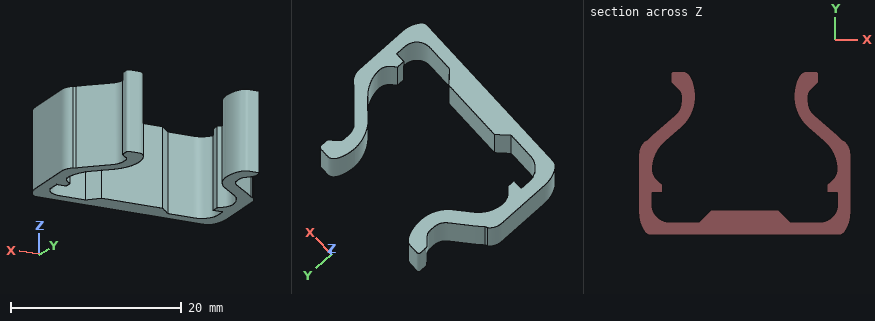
import cadquery as cq
import math

width = 25.0
depth = 19.3
height = 10.2
half_width = width / 2

base_thickness = 1.6
side_thickness = 1.6
pad_top = 3.0
pad_half_width = 4.0
pad_ramp = pad_top - base_thickness
inner_corner_radius = 2.1

base_half_width = 11.0
base_corner_joint = (11.78, 0.4)
side_bottom = 2.65

side_top = 9.55
shoulder_end = (11.79, 11.11)

step_bottom = 5.0
step_top = 6.0
step_depth = 1.25
step_inner_x = half_width - side_thickness - step_depth

bulge_start = (10.27, 6.54)
bulge_lower_mid = (10.7, 7.2)
bulge_widest = (10.82, 8.04)
bulge_upper_mid = (10.5, 9.37)
bulge_end = (9.39, 10.96)

arm_root = (11.5, 11.25)
arm_bend = (10.68, 12.04)
arm_top = (8.22, 14.17)
outer_neck_mid = (7.68, 14.88)
neck_outer_x = 7.49
neck_outer_low = 15.72
neck_outer_high = 16.47
lip_fillet_mid = (7.6, 16.84)
lip_under_start = (7.82, 17.11)

lip_x = 8.72
lip_under_end = (8.62, 17.88)
lip_bottom = 18.2
lip_corner_radius = 0.33

nose = (1.42, 3.08)
throat_half_width = 5.76
nose_start_x = throat_half_width + nose[0]
inner_neck_mid = (6.1, 14.55)
inner_neck_end = (7.2, 12.87)


def corner_mid(center, radius, angle):
    """Point on a circle, used as the middle of a rounded corner."""
    a = math.radians(angle)
    return (center[0] + radius * math.cos(a), center[1] + radius * math.sin(a))


def draw_outer_face(sketch):
    """From the middle of the base, round the outside, to the top of the nose."""
    lip_center = (lip_x - lip_corner_radius, depth - lip_corner_radius)
    return (
        sketch.moveTo(0, 0)
        .lineTo(base_half_width, 0)
        .tangentArcPoint(base_corner_joint, relative=False)
        .tangentArcPoint((half_width, side_bottom), relative=False)
        .lineTo(half_width, side_top)
        .tangentArcPoint(shoulder_end, relative=False)
        .lineTo(*arm_root)
        .lineTo(*arm_bend)
        .lineTo(*arm_top)
        .threePointArc(outer_neck_mid, (neck_outer_x, neck_outer_low))
        .lineTo(neck_outer_x, neck_outer_high)
        .threePointArc(lip_fillet_mid, lip_under_start)
        .lineTo(*lip_under_end)
        .tangentArcPoint((lip_x, lip_bottom), relative=False)
        .lineTo(lip_x, lip_center[1])
        .threePointArc(corner_mid(lip_center, lip_corner_radius, 45), (lip_center[0], depth))
        .lineTo(nose_start_x, depth)
    )


def draw_inner_face(sketch):
    """From the top of the nose, down the inside, to the middle of the pad."""
    inner_x = half_width - side_thickness
    corner_center = (inner_x - inner_corner_radius, base_thickness + inner_corner_radius)
    return (
        sketch.ellipseArc(*nose, 90, 180)
        .threePointArc(inner_neck_mid, inner_neck_end)
        .lineTo(*bulge_end)
        .threePointArc(bulge_upper_mid, bulge_widest)
        .threePointArc(bulge_lower_mid, bulge_start)
        .lineTo(step_inner_x, step_top)
        .lineTo(step_inner_x, step_bottom)
        .lineTo(inner_x, step_bottom)
        .lineTo(inner_x, corner_center[1])
        .threePointArc(
            corner_mid(corner_center, inner_corner_radius, -45),
            (corner_center[0], base_thickness),
        )
        .lineTo(pad_half_width + pad_ramp, base_thickness)
        .lineTo(pad_half_width, pad_top)
        .lineTo(0, pad_top)
    )


half_outline = draw_inner_face(draw_outer_face(cq.Workplane("XY")))
half_clip = half_outline.close().extrude(height)

result = half_clip.union(half_clip.mirror("YZ")).clean()